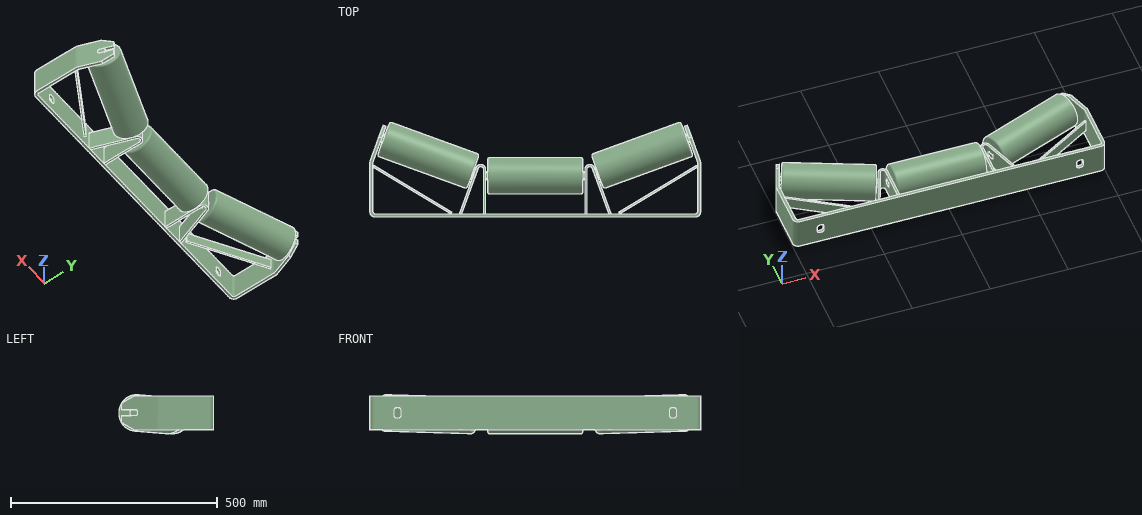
import cadquery as cq
import math

frame_length = 800.0
frame_height = 82.0
frame_thickness = 8.0
corner_radius = 14.0
wing_bend_radius = 16.0
wing_tip_y = 222.0
wing_chamfer_along = 32.0
wing_chamfer_height = 18.0

mount_hole_x = 333.0
mount_hole_width = 17.0
mount_hole_height = 25.0
mount_hole_corner = 6.0

roller_diameter = 89.0
roller_length = 230.0
roller_edge_radius = 5.0
shaft_diameter = 20.0
shaft_flat_width = 14.0
end_gap = 5.0
wing_inner_gap = 4.0
center_roller_y = 100.0
center_roller_z = -6.0
wing_roller_x = 258.0
wing_roller_y = 150.0
wing_roller_z = -3.0
wing_angle = 20.0
wing_tilt = 1.6

bracket_thickness = 6.0
bracket_height = 60.0
bracket_bend_radius = 12.0

brace_thickness = 5.0
brace_leg_y = 121.0
brace_base_x = 204.0
brace_height = 30.0
brace_bottom_z = -17.0

cut_clearance = 2.0

plate_offset = roller_length / 2 + end_gap
wing_inner_offset = roller_length / 2 + wing_inner_gap

wing_cos = math.cos(math.radians(wing_angle))
wing_sin = math.sin(math.radians(wing_angle))
wing_roller_reach = wing_roller_x * wing_cos + wing_roller_y * wing_sin

wing_reach = wing_roller_reach + plate_offset + frame_thickness
leg_height = (wing_reach - frame_length / 2 * wing_cos) / wing_sin
bracket_arm_reach = wing_roller_reach - wing_inner_offset
bracket_apex_y = (bracket_arm_reach - plate_offset * wing_cos) / wing_sin


def mitred_inner(points, thickness):
    """Offset an open chain of points to its left by the thickness, with mitred corners."""
    directions = []
    for start, end in zip(points, points[1:]):
        length = math.dist(start, end)
        directions.append(((end[0] - start[0]) / length, (end[1] - start[1]) / length))
    before = [directions[0]] + directions
    after = directions + [directions[-1]]
    inner = []
    for (x, y), (ax, ay), (bx, by) in zip(points, before, after):
        reach = thickness / (1 + ax * bx + ay * by)
        inner.append((x - (ay + by) * reach, y + (ax + bx) * reach))
    return inner


def bent_strip(outer, radii, thickness, height):
    """Flat bar centred on Z = 0, bent at each inner point of its outer outline."""
    inner = mitred_inner(outer, thickness)
    strip = cq.Workplane("XY").polyline(outer + inner[::-1]).close().extrude(height)
    strip = strip.translate((0, 0, -height / 2))
    for corner, inner_corner, radius in zip(outer[1:-1], inner[1:-1], radii):
        outer_edge = cq.selectors.NearestToPointSelector((*corner, 0))
        strip = strip.edges(outer_edge).fillet(radius)
        inner_edge = cq.selectors.NearestToPointSelector((*inner_corner, 0))
        strip = strip.edges(inner_edge).fillet(radius - thickness)
    return strip


def shaft_bar(start, end):
    """Shaft section along X, with its two flats facing up and down."""
    length = end - start
    bar = cq.Workplane("YZ").circle(shaft_diameter / 2).extrude(length)
    flats = cq.Workplane("YZ").rect(shaft_diameter, shaft_flat_width).extrude(length)
    return bar.intersect(flats).translate((start, 0, 0))


def make_roller(shaft_start, shaft_end):
    """Drum along X, centred on the origin, on a shaft whose ends stick out."""
    drum = cq.Workplane("YZ").circle(roller_diameter / 2).extrude(roller_length)
    drum = drum.faces("<X or >X").edges().fillet(roller_edge_radius)
    drum = drum.translate((-roller_length / 2, 0, 0))
    return drum.union(shaft_bar(shaft_start, shaft_end))


def place_center(body):
    return body.translate((0, center_roller_y, center_roller_z))


def place_wing(body):
    """Turn and tilt a body made around the X axis onto the right wing roller's axis."""
    body = body.rotate((0, 0, 0), (0, 1, 0), -wing_tilt)
    body = body.rotate((0, 0, 0), (0, 0, 1), wing_angle)
    return body.translate((wing_roller_x, wing_roller_y, wing_roller_z))


def on_side(body, side):
    """Keep a right-hand body, or mirror it to the left for side -1."""
    return body if side > 0 else body.mirror("YZ")


def make_frame():
    half = frame_length / 2
    tip_x = (wing_reach - wing_tip_y * wing_sin) / wing_cos
    right = [(half, 0), (half, leg_height), (tip_x, wing_tip_y)]
    left = [(-x, y) for x, y in reversed(right)]
    radii = [wing_bend_radius, corner_radius, corner_radius, wing_bend_radius]
    frame = bent_strip(left + right, radii, frame_thickness, frame_height)
    frame = frame.cut(make_mount_holes())
    for side in (-1, 1):
        frame = frame.cut(make_tip_corner(side))
        frame = frame.cut(on_side(make_wing_slot(), side))
    return frame


def make_mount_holes():
    """Upright rounded holes through the base."""
    return (
        cq.Workplane("XZ")
        .pushPoints([(-mount_hole_x, 0), (mount_hole_x, 0)])
        .rect(mount_hole_width, mount_hole_height)
        .extrude(-frame_thickness)
        .edges("|Y")
        .fillet(mount_hole_corner)
    )


def make_tip_corner(side):
    """Wedge, as long as the frame, that cuts the upper (1) or lower (-1) corner off both wing tips."""
    edge_z = side * frame_height / 2
    tip_z = side * (frame_height / 2 - wing_chamfer_height)
    chamfer_y = wing_tip_y - wing_chamfer_along * wing_cos
    beyond_y = wing_tip_y + frame_thickness
    outline = [(chamfer_y, edge_z), (beyond_y, edge_z), (beyond_y, tip_z), (wing_tip_y, tip_z)]
    return cq.Workplane("YZ").polyline(outline).close().extrude(frame_length / 2, both=True)


def make_wing_slot():
    """Slot for the outer shaft end, open at the wing tip."""
    start = plate_offset - cut_clearance
    end = plate_offset + frame_thickness + cut_clearance
    mouth_length = 2 * (wing_tip_y - wing_roller_y)
    mouth = (
        cq.Workplane("XY")
        .box(end - start, mouth_length, shaft_flat_width, centered=(False, False, True))
        .translate((start, 0, 0))
    )
    return place_wing(shaft_bar(start, end).union(mouth))


def make_bracket():
    """Right bracket: one arm carries the center roller, the other lies along the wing roller's end."""
    foot_x = bracket_arm_reach / wing_cos
    outer = [(foot_x, 0), (plate_offset, bracket_apex_y), (plate_offset, 0)]
    bracket = bent_strip(outer, [bracket_bend_radius], bracket_thickness, bracket_height)
    bracket = bracket.translate((0, 0, (bracket_height - frame_height) / 2))
    base = cq.Workplane("XY").box(frame_length, 2 * frame_thickness, frame_height)
    bracket = bracket.cut(base)
    reach = bracket_thickness + cut_clearance
    center_hole = shaft_bar(plate_offset - cut_clearance, plate_offset + reach)
    wing_hole = shaft_bar(-wing_inner_offset - reach, cut_clearance - wing_inner_offset)
    return bracket.cut(place_center(center_hole)).cut(place_wing(wing_hole))


def make_brace():
    """Right brace: a straight strip from the leg down to the base."""
    leg_x = frame_length / 2 - frame_thickness
    ends = [(brace_base_x, frame_thickness), (leg_x, brace_leg_y)]
    outline = ends + mitred_inner(ends, brace_thickness)[::-1]
    brace = cq.Workplane("XY").polyline(outline).close().extrude(brace_height)
    return brace.translate((0, 0, brace_bottom_z))


center_shaft_end = plate_offset + bracket_thickness
center_roller = place_center(make_roller(-center_shaft_end, center_shaft_end))
wing_roller = place_wing(
    make_roller(-wing_inner_offset - bracket_thickness, plate_offset + frame_thickness)
)

bodies = [make_frame(), center_roller]
for side in (-1, 1):
    for body in (wing_roller, make_bracket(), make_brace()):
        bodies.append(on_side(body, side))

result = cq.Compound.makeCompound([body.val() for body in bodies])